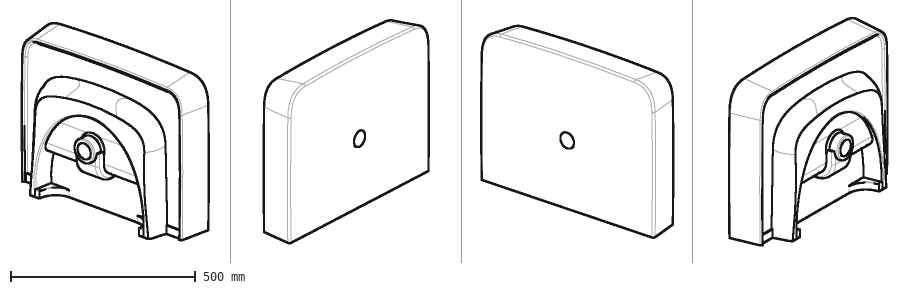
import cadquery as cq
import math


tolerance = 1.0

width = 598.88
height = 459.42
total_depth = 173.51

rim_depth = 102.0
rim_taper = 13.0
rim_side_bow = 2.0
rim_shoulder_z = 375.0
rim_corner_x = 232.0
rim_top_bow = 6.0
rim_face_round = 6.0
lip_round = 4.0

lip_width = 8.5
recess_depth = 8.0
recess_corner_round = 6.0
panel_depth = rim_depth - recess_depth
wall_strip_height = 26.0
wall_strip_thickness = 2.5

bowl_overlap = 4.0
bowl_sections = [
    (panel_depth - bowl_overlap, 231.0, 223.0, 265.0, 110.0, 363.0, 370.0),
    (128.0, 220.0, 213.0, 256.0, 75.0, 347.0, 351.0),
    (145.0, 216.0, 201.0, 254.0, 90.0, 327.0, 333.0),
    (156.0, 209.0, 183.0, 248.0, 85.0, 306.0, 312.0),
]
face_foot = (0.0, 153.0)
face_middle = (210.0, 152.0)
face_crown = (380.0, 141.0)

arch_half_foot = 191.0
arch_shoulder_x = 169.0
arch_shoulder_z = 165.0
arch_haunch_x = 112.0
arch_haunch_z = 250.0
arch_draft = 7.0
arch_crown_z = 295.0
arch_edge_round = 4.0
arch_overrun = 4.0

bottom_depth = 138.0
bottom_crown_depth = 142.0
bottom_bend_z = 242.0
bottom_low_z = 126.0
bottom_roll = 40.0

drain_z = 205.0
drain_radius = 36.0
drain_base_radius = 42.0
drain_flare = 8.0
drain_edge_round = 3.0
drain_hole_radius = 23.5

channel_width = 80.0
channel_depth = 164.0
channel_knee_z = 165.0
channel_low_z = 110.0
channel_middle = (147.0, 127.0)
channel_edge_round = 8.0

bracket_height = 23.0
bracket_inner_x = 122.0
bracket_tip_x = 178.0
bracket_outer_x = 205.0
bracket_edge_round = 2.0


def section(depth):
    """Sketch plane facing -Y, with local axes X and Z."""
    return cq.Workplane("XZ", origin=(0, -depth, 0))


def arched_outline(plane, foot_x, shoulder_x, shoulder_z, corner_x, corner_z, crown_z, side_bow):
    """Closed outline: flat foot, bowed sides, smooth corners and an arched top."""
    rise = crown_z - corner_z
    top_radius = (corner_x**2 + rise**2) / (2 * rise)
    top_run = top_radius - rise
    side_run = foot_x - shoulder_x
    lean = math.atan2(side_run, shoulder_z) + 2 * math.atan2(2 * side_bow, shoulder_z)
    side_dir = (math.sin(lean), math.cos(lean))
    top_dir = (top_run / top_radius, corner_x / top_radius)
    middle_x = (foot_x + shoulder_x) / 2 + side_bow
    middle_z = shoulder_z / 2
    outline = plane.moveTo(-foot_x, 0)
    if side_bow:
        outline = outline.threePointArc((-middle_x, middle_z), (-shoulder_x, shoulder_z))
    else:
        outline = outline.lineTo(-shoulder_x, shoulder_z)
    outline = outline.spline(
        [(-corner_x, corner_z)], tangents=[side_dir, top_dir], includeCurrent=True
    )
    outline = outline.threePointArc((0, crown_z), (corner_x, corner_z))
    outline = outline.spline(
        [(shoulder_x, shoulder_z)],
        tangents=[(top_dir[0], -top_dir[1]), (side_dir[0], -side_dir[1])],
        includeCurrent=True,
    )
    if side_bow:
        outline = outline.threePointArc((middle_x, middle_z), (foot_x, 0))
    else:
        outline = outline.lineTo(foot_x, 0)
    return outline.close().val()


def rim_outline(depth, inset):
    """Rim outline moved inward by the inset."""
    side_x = width / 2 - rim_side_bow - inset
    crown_z = height - inset
    return arched_outline(
        section(depth), side_x, side_x, rim_shoulder_z, rim_corner_x,
        crown_z - rim_top_bow, crown_z, rim_side_bow,
    )


def loft(wires, ruled):
    """Solid through the wires, with straight walls when ruled."""
    return cq.Workplane(cq.Solid.makeLoft(wires, ruled))


def extrude_sideways(profile, half_width):
    """Close and extrude a Y-Z profile evenly to both sides of X = 0."""
    return profile.close().extrude(half_width, both=True)


def foot_free(edges):
    """Keep the edges that do not lie along the wall side."""
    return edges.filter(lambda edge: edge.BoundingBox().zmax > tolerance)


def make_rim():
    """Rim body with leaning walls, a rounded lip and a shallow recess inside it."""
    lean = math.atan2(rim_taper, rim_depth)
    draw_in = rim_face_round * (math.tan(lean) + 1 / math.cos(lean) - 1)
    body = loft([rim_outline(0, -draw_in), rim_outline(rim_depth, rim_taper - draw_in)], True)
    body = foot_free(body.faces(">Y").edges()).fillet(rim_face_round)
    pocket_inset = rim_taper + lip_width
    pocket = loft([rim_outline(panel_depth, pocket_inset), rim_outline(rim_depth, pocket_inset)], True)
    pocket = foot_free(pocket.faces(">Y").edges()).fillet(recess_corner_round)
    body = body.cut(pocket)
    body = foot_free(body.faces("<Y").edges()).fillet(lip_round)
    strip_inner_x = bowl_sections[-1][1]
    strip_width = width / 2 - pocket_inset - strip_inner_x
    for side in (-1, 1):
        strip = cq.Workplane().box(strip_width, 2 * wall_strip_thickness, wall_strip_height)
        strip_x = side * (strip_inner_x + strip_width / 2)
        body = body.union(strip.translate((strip_x, -panel_depth, wall_strip_height / 2)))
    return body


def make_bowl():
    """Underside of the bowl, trimmed by its gently bent face."""
    wires = [arched_outline(section(s[0]), *s[1:], 0) for s in bowl_sections]
    shape = loft(wires, False)
    face = (
        cq.Workplane("YZ")
        .moveTo(0, face_foot[0])
        .lineTo(-face_foot[1], face_foot[0])
        .threePointArc((-face_middle[1], face_middle[0]), (-face_crown[1], face_crown[0]))
        .lineTo(0, face_crown[0])
    )
    return shape.intersect(extrude_sideways(face, width / 2))


def arch_outline(depth, inset):
    """Outline of the arched opening, moved inward by the inset."""
    foot_x = arch_half_foot - inset
    shoulder_x = arch_shoulder_x - inset
    haunch_x = arch_haunch_x - inset / math.sqrt(2)
    haunch_z = arch_haunch_z - inset / math.sqrt(2)
    crown_z = arch_crown_z - inset
    return (
        section(depth)
        .moveTo(-foot_x, 0)
        .spline(
            [(-shoulder_x, arch_shoulder_z), (-haunch_x, haunch_z), (0, crown_z),
             (haunch_x, haunch_z), (shoulder_x, arch_shoulder_z), (foot_x, 0)],
            includeCurrent=True,
        )
        .close()
        .val()
    )


def make_arch_space():
    """Tapered space from the panel out to the bowl face."""
    outlines = [arch_outline(panel_depth, arch_draft), arch_outline(face_foot[1] + arch_overrun, 0)]
    return loft(outlines, True)


def round_arch_edge(body):
    """Round the edge where the arched opening meets the bowl face."""
    def is_arch_edge(edge):
        box = edge.BoundingBox()
        reaches_foot = box.zmin < tolerance
        reaches_crown = abs(box.zmax - arch_crown_z) < arch_draft
        return reaches_foot and reaches_crown and box.ymax < -bottom_depth

    return body.edges().filter(is_arch_edge).fillet(arch_edge_round)


def make_bowl_bottom(arch_space):
    """Bowl bottom inside the arch, rolling down to the panel."""
    low_depth = bottom_depth - bottom_roll
    profile = (
        cq.Workplane("YZ")
        .moveTo(-bottom_crown_depth, arch_crown_z)
        .lineTo(-bottom_depth, bottom_bend_z)
        .lineTo(-bottom_depth, bottom_low_z + bottom_roll)
        .radiusArc((-low_depth, bottom_low_z), -bottom_roll)
        .lineTo(-panel_depth, bottom_low_z)
        .lineTo(-panel_depth, arch_crown_z)
    )
    return extrude_sideways(profile, width / 2).intersect(arch_space)


def make_channel():
    """Rounded overflow channel running from the drain down to the panel."""
    profile = (
        cq.Workplane("YZ")
        .moveTo(-channel_depth, drain_z)
        .lineTo(-channel_depth, channel_knee_z)
        .threePointArc((-channel_middle[0], channel_middle[1]), (-panel_depth, channel_low_z))
        .lineTo(-panel_depth, drain_z)
    )
    body = extrude_sideways(profile, channel_width / 2)
    outer = body.faces("<Y or <Z").edges("<X or >X")
    return outer.fillet(channel_edge_round)


def make_drain():
    """Round drain outlet with a flared base, standing on the bowl bottom."""
    base = bottom_depth
    outlet = (
        cq.Workplane("XY")
        .moveTo(0, base)
        .lineTo(drain_base_radius, base)
        .lineTo(drain_radius, base + drain_flare)
        .lineTo(drain_radius, total_depth - drain_edge_round)
        .radiusArc((drain_radius - drain_edge_round, total_depth), -drain_edge_round)
        .lineTo(0, total_depth)
        .close()
        .revolve(360, (0, 0, 0), (0, 1, 0))
    )
    return outlet.rotate((0, 0, 0), (1, 0, 0), 180).translate((0, 0, drain_z))


def make_bracket(side):
    """Wall bracket at the arch foot, with a hollow quarter-round inner edge."""
    outer_side = ">X" if side > 0 else "<X"
    run = bracket_tip_x - bracket_inner_x
    reach = face_foot[1] - panel_depth
    middle = (
        bracket_inner_x + run * math.sin(math.pi / 4),
        panel_depth + reach * (1 - math.cos(math.pi / 4)),
    )
    return (
        cq.Workplane("XY")
        .moveTo(side * bracket_inner_x, -panel_depth)
        .threePointArc((side * middle[0], -middle[1]), (side * bracket_tip_x, -face_foot[1]))
        .lineTo(side * bracket_outer_x, -face_foot[1])
        .lineTo(side * bracket_outer_x, -panel_depth)
        .close()
        .extrude(bracket_height)
        .faces(">Z")
        .edges(f"not(>Y or {outer_side})")
        .fillet(bracket_edge_round)
    )


arch_space = make_arch_space()
bowl = round_arch_edge(make_bowl().cut(arch_space))
result = make_rim().union(bowl).union(make_bowl_bottom(arch_space))
result = result.union(make_channel()).union(make_drain())
for side in (-1, 1):
    result = result.union(make_bracket(side))
drain_hole = section(0).center(0, drain_z).circle(drain_hole_radius).extrude(total_depth)
result = result.cut(drain_hole)